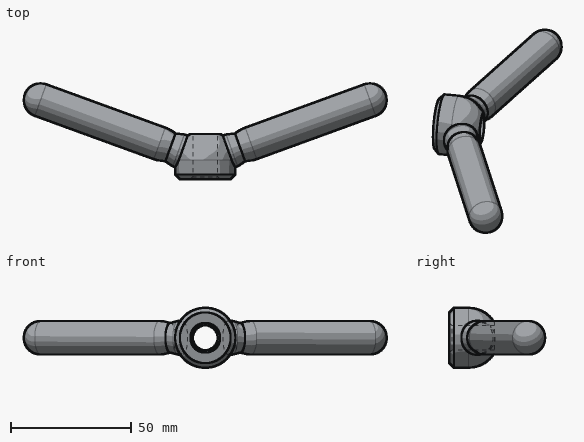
import cadquery as cq
import math

HUB_RADIUS = 12.5
BASE_CHAMFER = 2.0
DOME_START = 8.0
HUB_LENGTH = 18.9
BORE_RADIUS = 5.1
BORE_CHAMFER = 1.0

ARM_ANGLE = 20
ARM_DIAMETER = 14.0
ARM_RADIUS = ARM_DIAMETER / 2
OVERALL_WIDTH = 150.9
NECK_RADIUS = 6.2
NECK_DISTANCE = 15.4
SHOULDER_DISTANCE = 20.2
COLLAR_RADIUS = 7.1
COLLAR_DISTANCE = 11.8
ARM_ROOT = 8.3

BALL_DISTANCE = (OVERALL_WIDTH / 2 - ARM_RADIUS) / math.cos(math.radians(ARM_ANGLE))


def make_hub():
    """Cylinder with a chamfered base and a dome cut flat at the top."""
    flat_height = HUB_LENGTH - DOME_START
    flat_radius = math.sqrt(HUB_RADIUS**2 - flat_height**2)
    middle_angle = math.atan2(flat_height, flat_radius) / 2
    dome_middle = (
        HUB_RADIUS * math.cos(middle_angle),
        DOME_START + HUB_RADIUS * math.sin(middle_angle),
    )
    return (
        cq.Workplane("XY")
        .lineTo(HUB_RADIUS - BASE_CHAMFER, 0)
        .lineTo(HUB_RADIUS, BASE_CHAMFER)
        .lineTo(HUB_RADIUS, DOME_START)
        .threePointArc(dome_middle, (flat_radius, HUB_LENGTH))
        .lineTo(0, HUB_LENGTH)
        .close()
        .revolve(360, (0, 0), (0, 1))
    )


def make_arm():
    """Right-hand arm: collar, waisted neck, curved shoulder, bar and ball end."""
    ball_diagonal = ARM_RADIUS * math.sqrt(0.5)
    return (
        cq.Workplane("XY")
        .moveTo(ARM_ROOT, 0)
        .lineTo(ARM_ROOT, COLLAR_RADIUS)
        .lineTo(COLLAR_DISTANCE, COLLAR_RADIUS)
        .lineTo(NECK_DISTANCE, NECK_RADIUS)
        .threePointArc(shoulder_middle(), (SHOULDER_DISTANCE, ARM_RADIUS))
        .lineTo(BALL_DISTANCE, ARM_RADIUS)
        .threePointArc(
            (BALL_DISTANCE + ball_diagonal, ball_diagonal),
            (BALL_DISTANCE + ARM_RADIUS, 0),
        )
        .close()
        .revolve(360, (0, 0), (1, 0))
        .rotate((0, 0, 0), (0, 0, 1), ARM_ANGLE)
        .translate((0, DOME_START, 0))
    )


def shoulder_middle():
    """Middle of the shoulder arc, which is tangent to the bar."""
    run = SHOULDER_DISTANCE - NECK_DISTANCE
    drop = ARM_RADIUS - NECK_RADIUS
    radius = (run**2 + drop**2) / (2 * drop)
    half_sweep = math.asin(run / radius) / 2
    return (
        SHOULDER_DISTANCE - radius * math.sin(half_sweep),
        ARM_RADIUS - radius * (1 - math.cos(half_sweep)),
    )


def make_bore():
    """Through hole along Y, chamfered where it opens in the base face."""
    mouth_radius = BORE_RADIUS + BORE_CHAMFER
    return (
        cq.Workplane("XY")
        .lineTo(mouth_radius, 0)
        .lineTo(BORE_RADIUS, BORE_CHAMFER)
        .lineTo(BORE_RADIUS, HUB_LENGTH)
        .lineTo(0, HUB_LENGTH)
        .close()
        .revolve(360, (0, 0), (0, 1))
    )


right_arm = make_arm()
left_arm = right_arm.mirror("YZ")
result = make_hub().union(right_arm).union(left_arm).cut(make_bore())